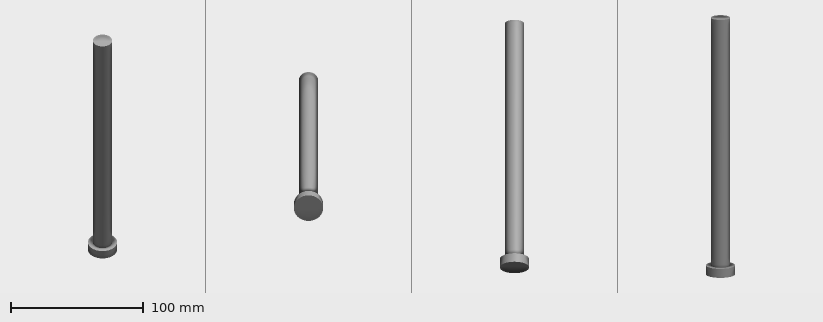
import cadquery as cq

total_length = 200.0
head_diameter = 22.0
head_height = 7.0
shank_diameter = 14.5

head = cq.Workplane("XY").circle(head_diameter / 2).extrude(head_height)
shank = cq.Workplane("XY").circle(shank_diameter / 2).extrude(total_length)

result = head.union(shank)